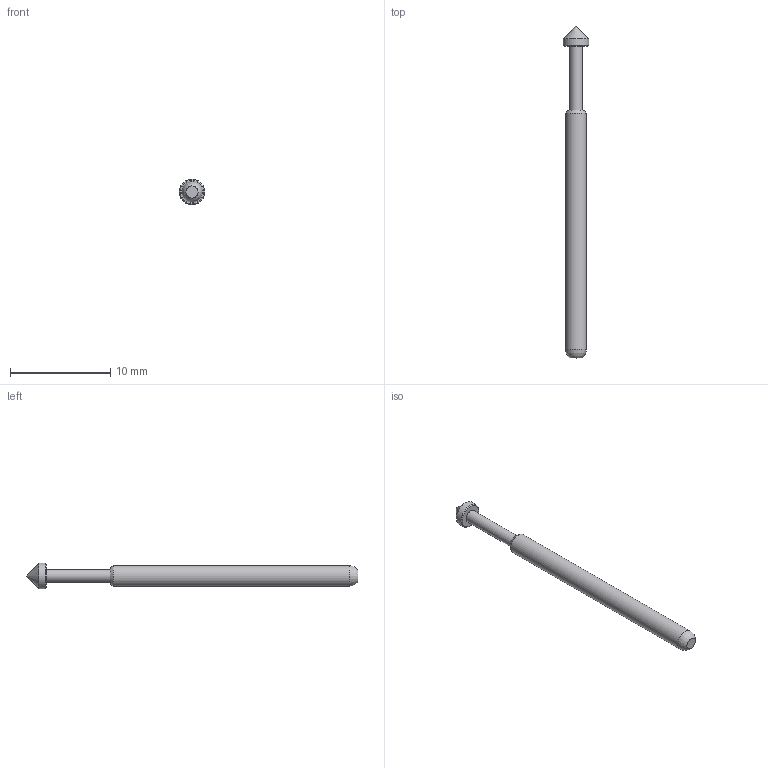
import cadquery as cq

total_length = 33.1
head_diameter = 2.54
head_length = 2.0
head_rear_chamfer = 0.1
shaft_diameter = 1.27
barrel_diameter = 2.08
barrel_length = 24.7
mouth_chamfer_length = 0.3
mouth_chamfer_depth = 0.2
tail_round_length = 0.85
tail_flat_diameter = 1.2

head_radius = head_diameter / 2
shaft_radius = shaft_diameter / 2
barrel_radius = barrel_diameter / 2
tail_flat_radius = tail_flat_diameter / 2
tip_cone_length = head_radius


def make_barrel():
    """Barrel with a rounded tail and a chamfered mouth."""
    tail_drop = barrel_radius - tail_flat_radius
    profile = (
        cq.Workplane("XY")
        .moveTo(0, 0)
        .lineTo(0, barrel_length)
        .lineTo(barrel_radius - mouth_chamfer_depth, barrel_length)
        .lineTo(barrel_radius, barrel_length - mouth_chamfer_length)
        .lineTo(barrel_radius, tail_round_length)
        .tangentArcPoint((-tail_drop, -tail_round_length))
        .close()
    )
    return profile.revolve(360, (0, 0, 0), (0, 1, 0))


def make_plunger():
    """Plunger shaft carrying a conical head."""
    head_rear = total_length - head_length
    profile = (
        cq.Workplane("XY")
        .moveTo(0, barrel_length)
        .lineTo(shaft_radius, barrel_length)
        .lineTo(shaft_radius, head_rear)
        .lineTo(head_radius - head_rear_chamfer, head_rear)
        .lineTo(head_radius, head_rear + head_rear_chamfer)
        .lineTo(head_radius, total_length - tip_cone_length)
        .lineTo(0, total_length)
        .close()
    )
    return profile.revolve(360, (0, 0, 0), (0, 1, 0))


result = make_barrel().union(make_plunger())